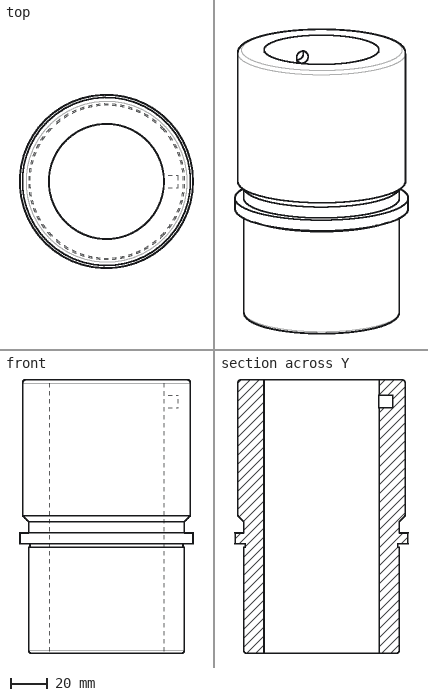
import cadquery as cq

total_height = 150.0
bore_radius = 31.5

body_radius = 46.0
shank_radius = 42.8
relief_radius = 42.0
flange_radius = 47.5

shank_top = 58.2
flange_bottom = 60.0
flange_thickness = 6.0
flange_top = flange_bottom + flange_thickness
body_bottom = 75.5
shoulder_bottom = body_bottom - (body_radius - shank_radius)

top_rim_radius = 2.0
bottom_rim_radius = 1.6

radial_hole_diameter = 6.8
radial_hole_drop = 12.0
radial_hole_depth = 7.5


def make_sleeve():
    """Revolve the stepped wall section around Z, then round both outer rims."""
    section = (
        cq.Workplane("XZ")
        .moveTo(bore_radius, 0)
        .lineTo(shank_radius, 0)
        .lineTo(shank_radius, shank_top)
        .lineTo(relief_radius, shank_top)
        .lineTo(relief_radius, flange_bottom)
        .lineTo(flange_radius, flange_bottom)
        .lineTo(flange_radius, flange_top)
        .lineTo(shank_radius, flange_top)
        .lineTo(shank_radius, shoulder_bottom)
        .lineTo(body_radius, body_bottom)
        .lineTo(body_radius, total_height)
        .lineTo(bore_radius, total_height)
        .close()
    )
    sleeve = section.revolve(360, (0, 0, 0), (0, 1, 0))
    sleeve = sleeve.faces(">Z").edges(cq.selectors.RadiusNthSelector(-1)).fillet(top_rim_radius)
    return sleeve.faces("<Z").edges(cq.selectors.RadiusNthSelector(-1)).fillet(bottom_rim_radius)


def make_radial_hole():
    """Cylinder running from the axis into the +X wall, stopping inside it."""
    return (
        cq.Workplane("YZ")
        .center(0, total_height - radial_hole_drop)
        .circle(radial_hole_diameter / 2)
        .extrude(bore_radius + radial_hole_depth)
    )


result = make_sleeve().cut(make_radial_hole())